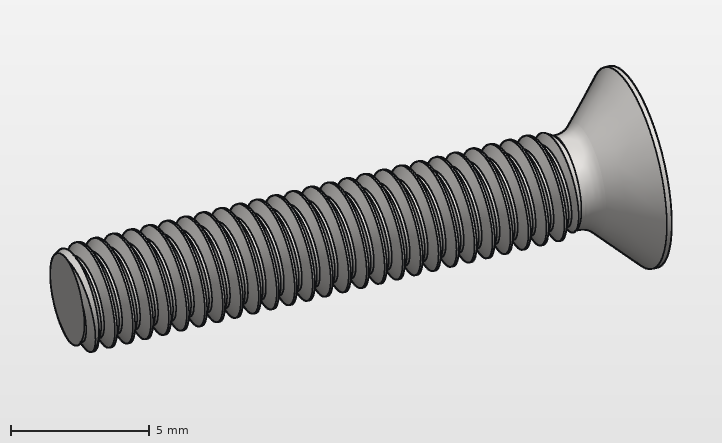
import cadquery as cq
import math

length = 22.0
head_radius = 7.5 / 2
rim_height = 0.2
cone_half_angle = math.radians(45)

major_radius = 4.0 / 2
pitch = 0.7
flank_angle = math.radians(30)
sharp_height = pitch / (2 * math.tan(flank_angle))
thread_depth = 17 / 24 * sharp_height
minor_radius = major_radius - thread_depth
neck_radius = major_radius - 3 / 8 * sharp_height
crest_width = pitch / 8
root_width = pitch - crest_width - 2 * thread_depth * math.tan(flank_angle)

neck_fillet = 1.0
neck_length = 0.14
lead_angle = math.radians(30)
first_turn_height = -length - root_width / 2
spare_turns = 2
envelope_clearance = 0.2

fillet_top_radius = neck_radius + neck_fillet * (1 - math.cos(cone_half_angle))
cone_height = (head_radius - fillet_top_radius) / math.tan(cone_half_angle)
fillet_top = -rim_height - cone_height
fillet_bottom = fillet_top - neck_fillet * math.sin(cone_half_angle)
neck_bottom = fillet_bottom - neck_length

envelope_radius = major_radius + envelope_clearance
lead_length = (envelope_radius - neck_radius) / math.tan(lead_angle)


def make_head():
    """Head rim, countersink cone, filleted neck."""
    half_arc = cone_half_angle / 2
    arc_middle = (
        neck_radius + neck_fillet * (1 - math.cos(half_arc)),
        fillet_bottom + neck_fillet * math.sin(half_arc),
    )
    return (
        cq.Workplane("XZ")
        .moveTo(0, 0)
        .lineTo(head_radius, 0)
        .lineTo(head_radius, -rim_height)
        .lineTo(fillet_top_radius, fillet_top)
        .threePointArc(arc_middle, (neck_radius, fillet_bottom))
        .lineTo(neck_radius, neck_bottom)
        .lineTo(0, neck_bottom)
        .close()
        .revolve(360, (0, 0), (0, 1))
    )


def thread_profile(start_height):
    """(radius, height) corners of one thread pitch, from one root to the next."""
    flank_rise = thread_depth * math.tan(flank_angle)
    return [
        (minor_radius, start_height),
        (minor_radius, start_height + root_width),
        (major_radius, start_height + root_width + flank_rise),
        (major_radius, start_height + root_width + flank_rise + crest_width),
        (minor_radius, start_height + pitch),
    ]


def make_shank_envelope():
    """Solid bounding the shank: a lead cone at the neck and at the tip, clear of the crests between."""
    return (
        cq.Workplane("XZ")
        .moveTo(0, neck_bottom)
        .lineTo(neck_radius, neck_bottom)
        .lineTo(envelope_radius, neck_bottom - lead_length)
        .lineTo(envelope_radius, -length + lead_length)
        .lineTo(neck_radius, -length)
        .lineTo(0, -length)
        .close()
        .revolve(360, (0, 0), (0, 1))
    )


def make_helix(radius, start_height):
    """One turn of a right-hand helix, starting on the +X side."""
    wire = cq.Wire.makeHelix(pitch, pitch, radius, cq.Vector(0, 0, start_height))
    return wire.Edges()[0]


def make_turn(start_height):
    """Skin of one thread turn: root, lower flank, crest and upper flank strips."""
    profile = thread_profile(start_height)
    helices = [make_helix(radius, height) for radius, height in profile]
    return [cq.Face.makeRuledSurface(lower, upper) for lower, upper in zip(helices, helices[1:])]


def make_rod_end(start_height):
    """Faces closing the rod: a one-turn spiral ramp from axis to root, and the step it leaves."""
    axis_low = cq.Vector(0, 0, start_height)
    axis_high = cq.Vector(0, 0, start_height + pitch)
    axis_edge = cq.Edge.makeLine(axis_low, axis_high)
    ramp = cq.Face.makeRuledSurface(axis_edge, make_helix(minor_radius, start_height))
    profile = [cq.Vector(radius, 0, height) for radius, height in thread_profile(start_height)]
    step = cq.Face.makeFromWires(cq.Wire.makePolygon([axis_low, *profile, axis_high], close=True))
    return [ramp, step]


def make_threaded_rod():
    """Right-hand threaded rod running past both ends of the shank."""
    turns = math.ceil((length + neck_bottom) / pitch) + 2 * spare_turns
    bottom = first_turn_height - spare_turns * pitch
    faces = make_rod_end(bottom) + make_rod_end(bottom + turns * pitch)
    for turn in range(turns):
        faces += make_turn(bottom + turn * pitch)
    return cq.Workplane(cq.Solid.makeSolid(cq.Shell.makeShell(faces)))


threaded_shank = make_threaded_rod().intersect(make_shank_envelope())
screw = make_head().union(threaded_shank)
result = screw.rotate((0, 0, 0), (1, 0, 0), -90)